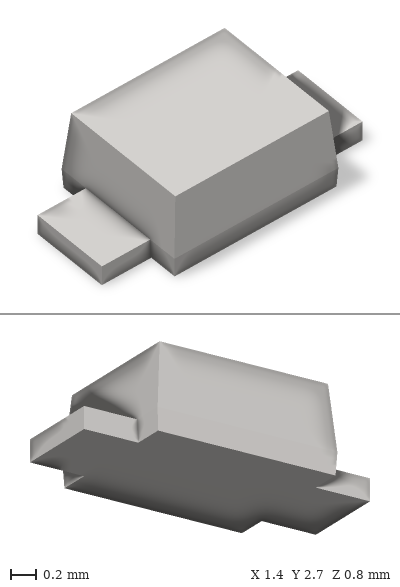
import cadquery as cq

LEAD_SPAN = 2.7
LEAD_WIDTH = 0.8
LEAD_HEIGHT = 0.2

HOUSING_WIDTH = 1.4
HOUSING_LENGTH = 1.698
HOUSING_HEIGHT = 0.8
TOP_INSET = 0.055
BOTTOM_INSET = 0.01

MARK_LENGTH = 1.16
MARK_WIDTH = 0.202
MARK_CENTRE_Y = 0.47
MARK_DEPTH = 0.008


def tapered_block(base_z, base_inset, top_z, top_inset):
    """Rectangular frustum whose sides lean in from the full housing outline."""
    return (
        cq.Workplane("XY")
        .workplane(offset=base_z)
        .rect(HOUSING_WIDTH - 2 * base_inset, HOUSING_LENGTH - 2 * base_inset)
        .workplane(offset=top_z - base_z)
        .rect(HOUSING_WIDTH - 2 * top_inset, HOUSING_LENGTH - 2 * top_inset)
        .loft(ruled=True, combine=True)
    )


def make_mark():
    """Thin bar whose upper face lies level with the housing top."""
    return (
        cq.Workplane("XY")
        .workplane(offset=HOUSING_HEIGHT - MARK_DEPTH)
        .center(0, MARK_CENTRE_Y)
        .rect(MARK_LENGTH, MARK_WIDTH)
        .extrude(MARK_DEPTH)
    )


def make_upper_housing(mark):
    """Upper half, with a recess that holds the mark."""
    return tapered_block(LEAD_HEIGHT, 0, HOUSING_HEIGHT, TOP_INSET).cut(mark)


def make_lower_housing():
    """Lower half, between the two leads."""
    return tapered_block(0, BOTTOM_INSET, LEAD_HEIGHT, 0)


def make_lead(side, lower_housing):
    """Flat lead on the +Y (side = 1) or -Y (side = -1) end, fitted to the sloping end face."""
    half_span = LEAD_SPAN / 2
    blank = (
        cq.Workplane("XY")
        .center(0, side * half_span / 2)
        .rect(LEAD_WIDTH, half_span)
        .extrude(LEAD_HEIGHT)
    )
    return blank.cut(lower_housing)


mark = make_mark()
upper_housing = make_upper_housing(mark)
lower_housing = make_lower_housing()
leads = [make_lead(side, lower_housing) for side in (-1, 1)]

result = cq.Compound.makeCompound(
    [
        upper_housing.solids().val(),
        lower_housing.val(),
        mark.val(),
        *[lead.solids().val() for lead in leads],
    ]
)